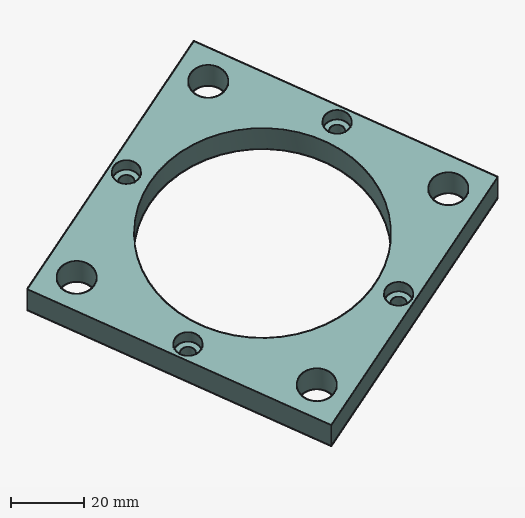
import cadquery as cq

plate_side = 95.0
plate_thickness = 10.0

bore_diameter = 70.4

corner_hole_diameter = 11.0
corner_hole_spacing = 75.0

screw_hole_diameter = 4.5
counterbore_diameter = 8.0
counterbore_depth = 4.5
screw_edge_distance = 5.0
screw_circle_radius = plate_side / 2 - screw_edge_distance
screw_count = 4


def make_plate():
    """Square plate centred on Z, with its underside at Z = 0."""
    return cq.Workplane("XY").box(
        plate_side, plate_side, plate_thickness, centered=(True, True, False)
    )


def cut_bore(body):
    """Round opening through the middle of the plate."""
    return body.faces(">Z").workplane().hole(bore_diameter)


def cut_corner_holes(body):
    """Plain through holes on a square pattern."""
    return (
        body.faces(">Z")
        .workplane()
        .rarray(corner_hole_spacing, corner_hole_spacing, 2, 2)
        .hole(corner_hole_diameter)
    )


def cut_screw_holes(body):
    """Through holes counterbored from the top face."""
    return (
        body.faces(">Z")
        .workplane()
        .polarArray(screw_circle_radius, 0, 360, screw_count)
        .cboreHole(screw_hole_diameter, counterbore_diameter, counterbore_depth)
    )


result = cut_screw_holes(cut_corner_holes(cut_bore(make_plate())))